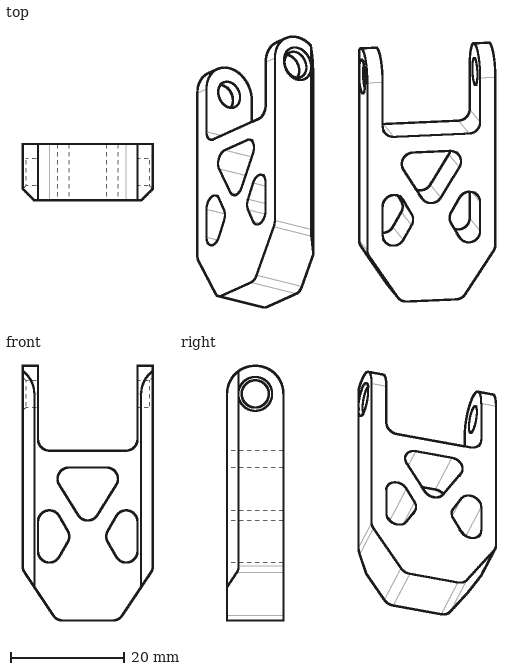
import cadquery as cq

width = 23.0
depth = 10.0
height = 45.0

taper_height = 9.0
foot_width = 11.0
corner_radius = 2.0
front_chamfer = 2.05

lug_thickness = 2.75
fork_floor = 30.0
fork_width = width - 2 * lug_thickness

lug_radius = depth / 2
pin_height = height - lug_radius
pin_diameter = 4.75
countersink_diameter = 6.0
countersink_depth = (countersink_diameter - pin_diameter) / 2

window_radius = 2.0
top_window_upper = 27.0 - window_radius
top_window_lower = 19.65
top_window_half_width = 3.35
side_window_outer = fork_width / 2 - window_radius
side_window_inner = 5.25
side_window_height = 14.85
side_window_half_height = 2.6


def make_body():
    """Tapered block with rounded lower corners and chamfered front side edges."""
    outline = [
        (-foot_width / 2, 0),
        (foot_width / 2, 0),
        (width / 2, taper_height),
        (width / 2, height),
        (-width / 2, height),
        (-width / 2, taper_height),
    ]
    body = cq.Workplane("XZ").polyline(outline).close().extrude(depth / 2, both=True)
    body = body.edges("|Y and (not >Z)").fillet(corner_radius)

    section = (
        cq.Workplane("XY")
        .rect(width, depth)
        .extrude(height)
        .edges("|Z and <Y")
        .chamfer(front_chamfer)
    )
    return body.intersect(section)


def round_lug_tops(body):
    """Round the top ends of the lugs about the pin axis."""
    side_profile = (
        cq.Workplane("YZ")
        .moveTo(-depth / 2, 0)
        .lineTo(depth / 2, 0)
        .lineTo(depth / 2, pin_height)
        .threePointArc((0, height), (-depth / 2, pin_height))
        .close()
        .extrude(width / 2, both=True)
    )
    return body.intersect(side_profile)


def make_fork_opening():
    """Block removed between the lugs, with rounded floor corners."""
    return (
        cq.Workplane("XY")
        .workplane(offset=fork_floor)
        .rect(fork_width, 2 * depth)
        .extrude(height - fork_floor)
        .edges("|Y and <Z")
        .fillet(corner_radius)
    )


def make_window(corner_centres):
    """Rounded triangular cutter running right through the depth."""
    return (
        cq.Workplane("XZ")
        .polyline(corner_centres)
        .close()
        .offset2D(window_radius)
        .extrude(depth, both=True)
    )


def make_pin_cutter(side):
    """Pin hole through one lug (side -1 or +1), countersunk on its outer face."""
    half_width = width / 2
    profile = [
        (0, 0),
        (0, half_width),
        (countersink_diameter / 2, half_width),
        (pin_diameter / 2, half_width - countersink_depth),
        (pin_diameter / 2, 0),
    ]
    cutter = cq.Workplane("XY").polyline(profile).close().revolve(360, (0, 0), (0, 1))
    return cutter.rotate((0, 0, 0), (0, 0, 1), -90 * side).translate((0, 0, pin_height))


result = round_lug_tops(make_body()).cut(make_fork_opening())

result = result.cut(make_window([
    (-top_window_half_width, top_window_upper),
    (top_window_half_width, top_window_upper),
    (0, top_window_lower),
]))

for side in (-1, 1):
    result = result.cut(make_window([
        (side * side_window_outer, side_window_height + side_window_half_height),
        (side * side_window_outer, side_window_height - side_window_half_height),
        (side * side_window_inner, side_window_height),
    ]))
    result = result.cut(make_pin_cutter(side))